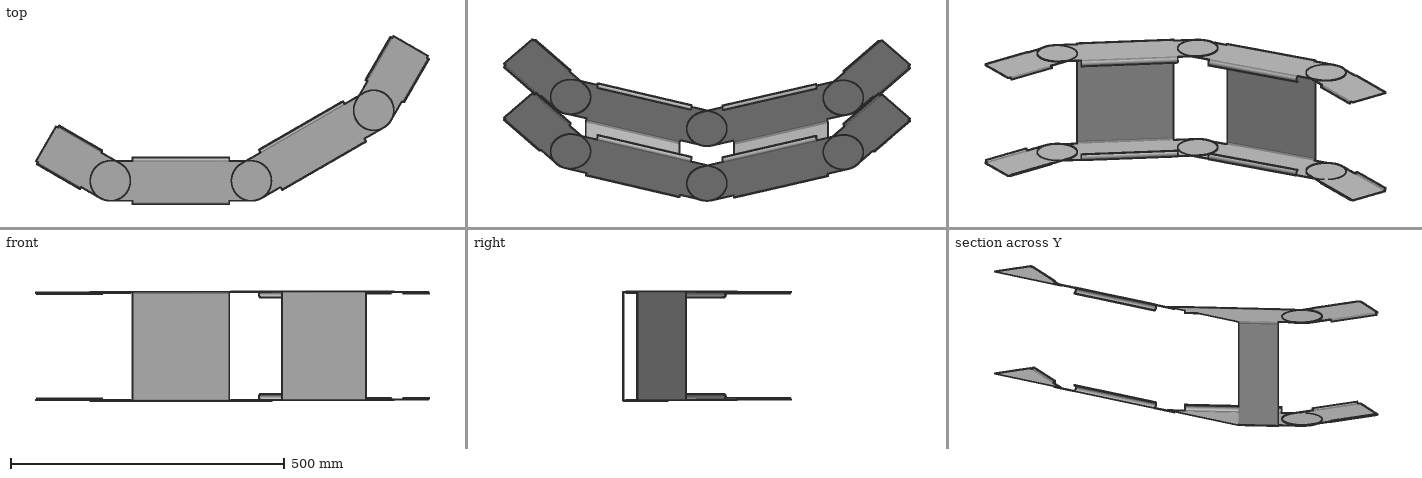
import cadquery as cq
import math

overall_height = 201.0
sheet = 1.3

pivot_spacing = 258.0
turn_angle = 30.0
link_width = 73.0
link_radius = link_width / 2

channel_height = overall_height - sheet
formed_length = 177.5
web_bend_radius = 2.5
hem_radius = 6.1
channel_half_width = link_radius + hem_radius

end_length = 136.0
end_half_width = 41.0
end_bend_radius = 3.5
bent_edge_length = 91.0
bent_edge_inset = 4.0

left_channel_level = 0.0
right_channel_level = left_channel_level + sheet


def link_sheet(level):
    """Flat link with a round end about each pivot."""
    return (
        cq.Workplane("XY", origin=(pivot_spacing / 2, 0, level))
        .slot2D(pivot_spacing + link_width, link_width)
        .extrude(sheet)
    )


def bar(length, y_min, y_max, z_min, z_max):
    """Rectangular bar along +X from the YZ plane."""
    section = cq.Workplane("YZ", origin=(0, (y_min + y_max) / 2, (z_min + z_max) / 2))
    return section.rect(y_max - y_min, z_max - z_min).extrude(length)


def channel_web():
    """C section: the web on the -Y side, joined by bends to the two flanges."""
    rounded_edges = "|X and <Y"
    outer = bar(formed_length, -channel_half_width, link_radius, 0, channel_height)
    outer = outer.edges(rounded_edges).fillet(web_bend_radius)
    inner = bar(formed_length, sheet - channel_half_width, link_radius, sheet, channel_height - sheet)
    inner = inner.edges(rounded_edges).fillet(web_bend_radius - sheet)
    return outer.cut(inner)


def hem():
    """Half-round curl that rises from the +Y edge of the lower flange."""
    inner_radius = hem_radius - sheet
    return (
        cq.Workplane("YZ")
        .moveTo(link_radius, 0)
        .threePointArc((link_radius + hem_radius, hem_radius), (link_radius, 2 * hem_radius))
        .lineTo(link_radius, 2 * hem_radius - sheet)
        .threePointArc((link_radius + inner_radius, hem_radius), (link_radius, sheet))
        .close()
        .extrude(formed_length)
    )


def channel():
    """Channel with its first pivot on the Z axis and its second along +X."""
    lower_hem = hem()
    upper_hem = lower_hem.mirror("XY").translate((0, 0, channel_height))
    formed = channel_web().union(lower_hem).union(upper_hem)
    formed = formed.translate(((pivot_spacing - formed_length) / 2, 0, 0))
    return formed.union(link_sheet(0)).union(link_sheet(channel_height - sheet))


def bent_edges():
    """Flat strip whose two long edges turn up in quarter-round bends."""
    rounded_edges = "|X and <Z"
    inner_half_width = end_half_width - sheet
    outer = bar(bent_edge_length, -end_half_width, end_half_width, 0, 2 * end_bend_radius)
    outer = outer.edges(rounded_edges).fillet(end_bend_radius)
    inner = bar(bent_edge_length, -inner_half_width, inner_half_width, sheet, 2 * end_bend_radius)
    inner = inner.edges(rounded_edges).fillet(end_bend_radius - sheet)
    bend_zone = bar(bent_edge_length, -end_half_width, end_half_width, 0, end_bend_radius)
    return outer.cut(inner).intersect(bend_zone)


def end_plate():
    """Lower end plate: round about the Z axis, square at +X, both long edges bent up."""
    disc = cq.Workplane("XY").circle(link_radius).extrude(sheet)
    strip = bar(end_length, -link_radius, link_radius, 0, sheet)
    bends_start = end_length - bent_edge_inset - bent_edge_length
    return disc.union(strip).union(bent_edges().translate((bends_start, 0, 0)))


def place(body, pivot, heading, level):
    """Turn a body about its first pivot and set that pivot on the chain."""
    turned = body.rotate((0, 0, 0), (0, 0, 1), heading)
    return turned.translate((*pivot, level))


def end_plate_pair(pivot, heading, channel_level):
    """Two end plates lying against the inner faces of a channel's flanges."""
    lower = end_plate()
    upper = lower.mirror("XY")
    return [
        place(lower, pivot, heading, channel_level + sheet),
        place(upper, pivot, heading, channel_level + channel_height - sheet),
    ]


turn = math.radians(turn_angle)
left_pivot = (0.0, 0.0)
middle_pivot = (pivot_spacing, 0.0)
right_pivot = (pivot_spacing * (1 + math.cos(turn)), pivot_spacing * math.sin(turn))

left_channel = place(channel(), left_pivot, 0, left_channel_level)
right_channel = place(channel(), middle_pivot, turn_angle, right_channel_level)
left_ends = end_plate_pair(left_pivot, 180 - turn_angle, left_channel_level)
right_ends = end_plate_pair(right_pivot, 2 * turn_angle, right_channel_level)

bodies = [left_channel, right_channel, *left_ends, *right_ends]
result = cq.Compound.makeCompound([body.solids().val() for body in bodies])